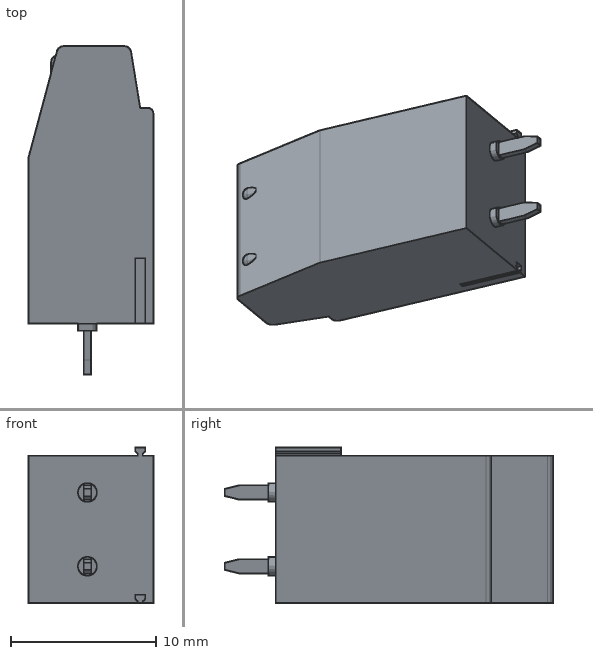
import cadquery as cq
import math

HOUSING_WIDTH = 8.6
HOUSING_LENGTH = 19.1
POLE_PITCH = 5.08
POLE_COUNT = 2
HOUSING_HEIGHT = POLE_COUNT * POLE_PITCH
POLE_HEIGHTS = [POLE_PITCH * (pole + 0.5) for pole in range(POLE_COUNT)]

SLOPE_START = 11.45
SLOPE_ANGLE = math.radians(15)
BACK_CORNER_X = 7.0
STEP_X = 7.69
STEP_Y = 14.85
BACK_FILLET = 0.5
STEP_FILLET = 0.4

PIN_X = 4.05
COLLAR_DIAMETER = 1.3
COLLAR_LENGTH = 0.5
PIN_LENGTH = 3.5
BLADE_THICKNESS = 0.5
BLADE_WIDTH = 1.0
TIP_WIDTH = 0.5
TIP_LENGTH = 1.0

DOVETAIL_X = 7.69
DOVETAIL_WIDTH = 0.7
DOVETAIL_NECK_WIDTH = 0.36
DOVETAIL_HEIGHT = 0.57
DOVETAIL_HEAD_HEIGHT = 0.27
DOVETAIL_LENGTH = 4.5

STUD_RADIUS = 0.5
STUD_START_Y = 17.22
STUD_STRAIGHT_LENGTH = 0.75


def slope_x(y):
    """X of the sloped side at a given Y."""
    return (y - SLOPE_START) * math.tan(SLOPE_ANGLE)


def make_housing():
    back_left = (slope_x(HOUSING_LENGTH), HOUSING_LENGTH)
    back_right = (BACK_CORNER_X, HOUSING_LENGTH)
    step_outer = (HOUSING_WIDTH, STEP_Y)
    outline = [
        (0, 0),
        (0, SLOPE_START),
        back_left,
        back_right,
        (STEP_X, STEP_Y),
        step_outer,
        (HOUSING_WIDTH, 0),
    ]
    housing = cq.Workplane("XY").polyline(outline).close().extrude(HOUSING_HEIGHT)
    for corner, radius in [
        (back_left, BACK_FILLET),
        (back_right, BACK_FILLET),
        (step_outer, STEP_FILLET),
    ]:
        nearest_edge = cq.selectors.NearestToPointSelector((*corner, HOUSING_HEIGHT / 2))
        housing = housing.edges("|Z").edges(nearest_edge).fillet(radius)
    return housing


def make_dovetail(base_z):
    """Dovetail prism standing on base_z with its narrow neck at the bottom."""
    half_width = DOVETAIL_WIDTH / 2
    half_neck = DOVETAIL_NECK_WIDTH / 2
    head_z = DOVETAIL_HEIGHT - DOVETAIL_HEAD_HEIGHT
    neck_z = head_z - (half_width - half_neck)
    right_side = [
        (half_neck, 0),
        (half_neck, neck_z),
        (half_width, head_z),
        (half_width, DOVETAIL_HEIGHT),
    ]
    left_side = [(-x, z) for x, z in reversed(right_side)]
    return (
        cq.Workplane("XZ", origin=(DOVETAIL_X, 0, base_z))
        .polyline(right_side + left_side)
        .close()
        .extrude(-DOVETAIL_LENGTH)
    )


def make_pin(z):
    collar = cq.Workplane("XZ", origin=(PIN_X, 0, z)).circle(COLLAR_DIAMETER / 2).extrude(COLLAR_LENGTH)
    half_width = BLADE_WIDTH / 2
    half_tip = TIP_WIDTH / 2
    taper_y = TIP_LENGTH - PIN_LENGTH
    blade_outline = [
        (0, -half_width),
        (0, half_width),
        (taper_y, half_width),
        (-PIN_LENGTH, half_tip),
        (-PIN_LENGTH, -half_tip),
        (taper_y, -half_width),
    ]
    blade = (
        cq.Workplane("YZ", origin=(PIN_X, 0, z))
        .polyline(blade_outline)
        .close()
        .extrude(BLADE_THICKNESS / 2, both=True)
    )
    return collar.union(blade)


def make_stud(z):
    """Cylinder with a spherical end; its outermost line meets the slope at STUD_START_Y."""
    axis_x = slope_x(STUD_START_Y) + STUD_RADIUS
    dome_y = STUD_START_Y + STUD_STRAIGHT_LENGTH
    shaft = (
        cq.Workplane("XZ", origin=(axis_x, STUD_START_Y, z))
        .circle(STUD_RADIUS)
        .extrude(-STUD_STRAIGHT_LENGTH)
    )
    dome = cq.Workplane("XY", origin=(axis_x, dome_y, z)).sphere(STUD_RADIUS)
    return shaft.union(dome)


result = make_housing().cut(make_dovetail(0)).union(make_dovetail(HOUSING_HEIGHT))
for pole_z in POLE_HEIGHTS:
    result = result.union(make_pin(pole_z)).union(make_stud(pole_z))